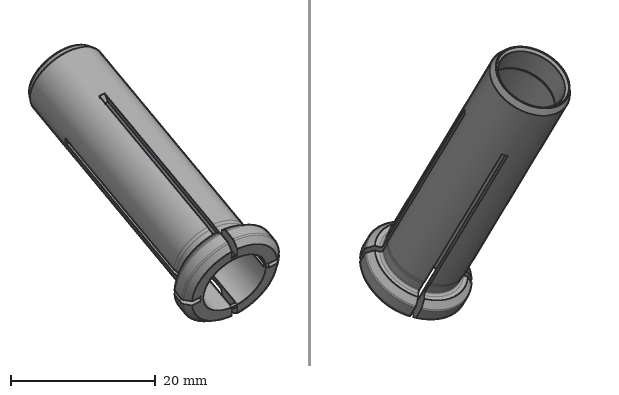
import cadquery as cq

length = 44.0
body_radius = 12.0 / 2

nose_chamfer_length = 1.0
nose_radius = 5.55

flange_radius = 15.95 / 2
flange_width = 4.0
flange_chamfer = 1.0
flange_edge_radius = 0.4
flange_face_x = length - flange_width
flange_face_radius = flange_radius - flange_chamfer

neck_radius = 5.9
neck_taper_start = 37.75
neck_taper_length = 0.55
neck_fillet = 0.4

bore_radius = 10.2 / 2
entry_radius = 10.0 / 2
entry_depth = 4.0
entry_chamfer = 0.4
entry_taper_length = 0.25

slot_count = 4
slot_width = 0.9
slot_start = 10.05
slot_end_inset = 0.5


def edge_box(x, radius):
    """Selector for edges on the circle centred on the axis at x."""
    gap = 0.05
    return cq.selectors.BoxSelector(
        (x - gap, -radius - gap, -radius - gap),
        (x + gap, radius + gap, radius + gap),
        boundingbox=True,
    )


def make_outside():
    """Revolve the outer silhouette, then round the neck and flange edges."""
    profile = (
        cq.Workplane("XY")
        .lineTo(0, nose_radius)
        .lineTo(nose_chamfer_length, body_radius)
        .lineTo(neck_taper_start, body_radius)
        .lineTo(neck_taper_start + neck_taper_length, neck_radius)
        .lineTo(flange_face_x, neck_radius)
        .lineTo(flange_face_x, flange_face_radius)
        .lineTo(flange_face_x + flange_chamfer, flange_radius)
        .lineTo(length - flange_chamfer, flange_radius)
        .lineTo(length, flange_face_radius)
        .lineTo(length, 0)
        .close()
    )
    solid = profile.revolve(360, (0, 0, 0), (1, 0, 0))
    solid = solid.edges(edge_box(flange_face_x, neck_radius)).fillet(neck_fillet)
    for edge_x in (flange_face_x + flange_chamfer, length - flange_chamfer):
        solid = solid.edges(edge_box(edge_x, flange_radius)).fillet(flange_edge_radius)
    return solid


def make_bore():
    """Revolve the stepped through bore."""
    return (
        cq.Workplane("XY")
        .lineTo(0, entry_radius + entry_chamfer)
        .lineTo(entry_chamfer, entry_radius)
        .lineTo(entry_depth, entry_radius)
        .lineTo(entry_depth + entry_taper_length, bore_radius)
        .lineTo(length, bore_radius)
        .lineTo(length, 0)
        .close()
        .revolve(360, (0, 0, 0), (1, 0, 0))
    )


def make_slot():
    """Cutter for one slot; its 45 degree ends leave a thin ring at the flange end."""
    cut_radius = flange_radius + 0.45
    inner_radius = bore_radius - 0.45
    depth = cut_radius - inner_radius
    start_inner = slot_start + body_radius - inner_radius
    end_inner = length - slot_end_inset - (bore_radius - inner_radius)
    return (
        cq.Workplane("XY")
        .moveTo(start_inner, inner_radius)
        .lineTo(end_inner, inner_radius)
        .lineTo(end_inner + depth, cut_radius)
        .lineTo(start_inner - depth, cut_radius)
        .close()
        .extrude(slot_width / 2, both=True)
    )


result = make_outside().cut(make_bore())
for index in range(slot_count):
    result = result.cut(make_slot().rotate((0, 0, 0), (1, 0, 0), index * 360 / slot_count))